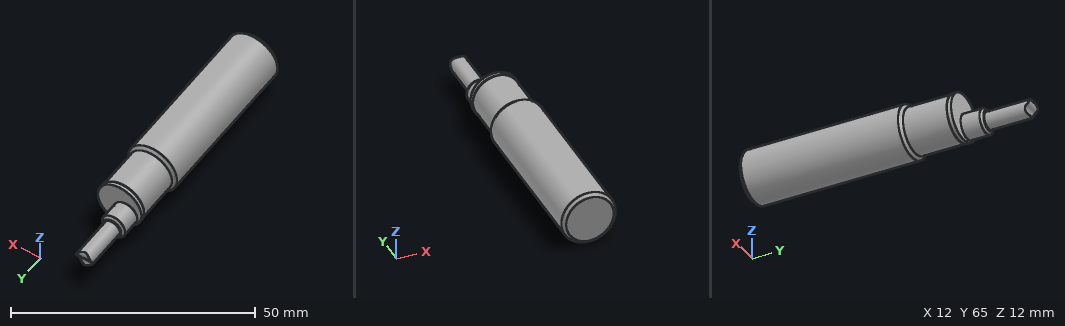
import cadquery as cq

total_length = 65.0

barrel_diameter = 12.0
neck_diameter = 10.5
flange_diameter = 10.7
gland_diameter = 5.7
cable_diameter = 3.9

barrel_length = 38.2
neck_length = 10.3
flange_length = 1.05
gland_length = 5.0

barrel_chamfer = (barrel_diameter - neck_diameter) / 2
gland_chamfer = 0.6

cable_offset = 1.5

break_bulge = 0.5

front_face = 0.0
neck_start = front_face + barrel_length
flange_start = neck_start + neck_length
gland_start = flange_start + flange_length
cable_start = gland_start + gland_length
cable_end = front_face + total_length
break_line = cable_end - break_bulge


def rod(diameter, start, end, offset=0.0):
    """Cylinder along +Y, with its axis shifted toward -X and -Z by offset."""
    plane = cq.Plane(origin=(-offset, start, -offset), xDir=(1, 0, 0), normal=(0, 1, 0))
    return cq.Workplane(plane).circle(diameter / 2).extrude(end - start)


def make_housing():
    """Chamfered barrel, neck, rear flange and off-centre cable gland."""
    barrel = rod(barrel_diameter, front_face, neck_start).edges("%CIRCLE").chamfer(barrel_chamfer)
    neck = rod(neck_diameter, neck_start, flange_start)
    flange = rod(flange_diameter, flange_start, gland_start)
    gland = rod(gland_diameter, gland_start, cable_start, cable_offset)
    gland = gland.faces(">Y").edges().chamfer(gland_chamfer)
    return barrel.union(neck).union(flange).union(gland)


def make_cable():
    """Cable butting on the gland, with its rear end cut to an S-shaped break."""
    radius = cable_diameter / 2
    axis_z = -cable_offset
    profile = (
        cq.Workplane("YZ", origin=(-cable_offset, 0, 0))
        .moveTo(cable_start, axis_z + radius)
        .lineTo(break_line, axis_z + radius)
        .threePointArc((cable_end, axis_z + radius / 2), (break_line, axis_z))
        .threePointArc((break_line - break_bulge, axis_z - radius / 2), (break_line, axis_z - radius))
        .lineTo(cable_start, axis_z - radius)
        .close()
        .extrude(radius, both=True)
    )
    return rod(cable_diameter, cable_start, cable_end, cable_offset).intersect(profile)


housing = make_housing()
cable = make_cable()

result = cq.Compound.makeCompound([housing.val(), cable.val()])